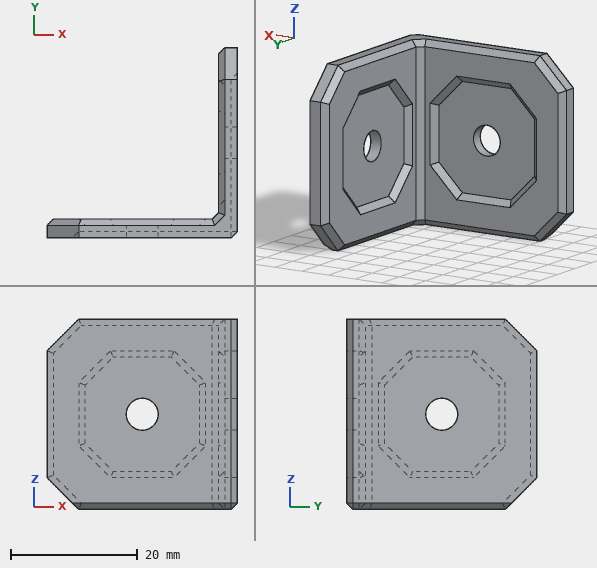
import cadquery as cq

size = 30.0
thickness = 3.0
corner_cut = 5.0
bevel = 1.0
hole_diameter = 5.0
recess_width = 20.0
recess_corner_cut = 5.0
recess_depth = 1.0
recess_wall_angle = 45.0

middle = size / 2
inner_x = size - thickness
inner_y = thickness
margin = 0.01

x_leg_plane = cq.Plane(origin=(middle, inner_y, middle), xDir=(1, 0, 0), normal=(0, -1, 0))
y_leg_plane = cq.Plane(origin=(inner_x, middle, middle), xDir=(0, 1, 0), normal=(1, 0, 0))


def angle():
    """Upright L-shaped angle, with the inside of its bend bevelled."""
    return (
        cq.Workplane("XY")
        .moveTo(0, 0)
        .lineTo(size, 0)
        .lineTo(size, size)
        .lineTo(inner_x, size)
        .lineTo(inner_x, inner_y + bevel)
        .lineTo(inner_x - bevel, inner_y)
        .lineTo(0, inner_y)
        .close()
        .extrude(size)
    )


def cut_free_corners(body):
    """Cut the upper and lower corner at the free end of both legs."""
    x_leg_corners = body.faces("<X").edges("|Y")
    y_leg_corners = body.faces(">Y").edges("|X")
    return x_leg_corners.add(y_leg_corners).chamfer(corner_cut)


def bevel_edges(body):
    """Bevel the whole rim of the inner faces, the outer bottom edges and the outer bend."""
    inner_faces = body.faces(
        cq.selectors.BoxSelector(
            (-margin, inner_y - margin, -margin),
            (inner_x + margin, size + margin, size + margin),
            boundingbox=True,
        )
    )
    inner_rim = inner_faces.edges("(not |Z) or <X or >Y")
    outer_bottom = body.faces("<Z").edges("<Y or >X")
    outer_bend = body.edges("|Z").edges(">(1, -1, 0)")
    return inner_rim.add(outer_bottom).add(outer_bend).chamfer(bevel)


def recess(plane):
    """Octagonal cutter that narrows with depth."""
    octagon = cq.Sketch().rect(recess_width, recess_width).vertices().chamfer(recess_corner_cut)
    return cq.Workplane(plane).placeSketch(octagon).extrude(recess_depth, taper=recess_wall_angle)


def hole(plane):
    """Cutter for the hole through a leg."""
    return cq.Workplane(plane).circle(hole_diameter / 2).extrude(thickness)


result = bevel_edges(cut_free_corners(angle()))
for leg_plane in (x_leg_plane, y_leg_plane):
    result = result.cut(recess(leg_plane)).cut(hole(leg_plane))